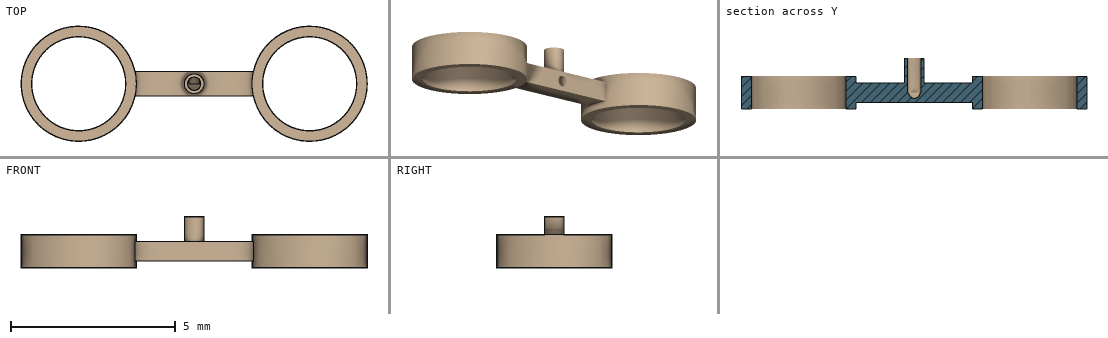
import cadquery as cq

ring_outer_diameter = 3.5
ring_inner_diameter = 2.85
ring_height = 1.01
overall_length = 10.5
ring_offset = (overall_length - ring_outer_diameter) / 2

bar_width = 0.75
bar_thickness = 0.6
bar_bottom = (ring_height - bar_thickness) / 2
bar_middle = ring_height / 2

post_diameter = 0.6
post_bore_diameter = 0.4
post_top = 1.55

side_port_diameter = 0.33


def cylinder(x, diameter, bottom, top):
    """Upright cylinder on the X axis between two heights."""
    return cq.Workplane("XY", origin=(x, 0, bottom)).circle(diameter / 2).extrude(top - bottom)


result = (
    cq.Workplane("XY", origin=(0, 0, bar_bottom))
    .rect(2 * ring_offset, bar_width)
    .extrude(bar_thickness)
)
result = result.union(cylinder(0, post_diameter, bar_bottom, post_top))

for ring_x in (-ring_offset, ring_offset):
    result = result.union(cylinder(ring_x, ring_outer_diameter, 0, ring_height))
    result = result.cut(cylinder(ring_x, ring_inner_diameter, 0, ring_height))

result = result.cut(cylinder(0, post_bore_diameter, bar_middle, post_top))

side_port = (
    cq.Workplane("XZ", origin=(0, 0, bar_middle))
    .circle(side_port_diameter / 2)
    .extrude(-bar_width / 2)
)
result = result.cut(side_port)